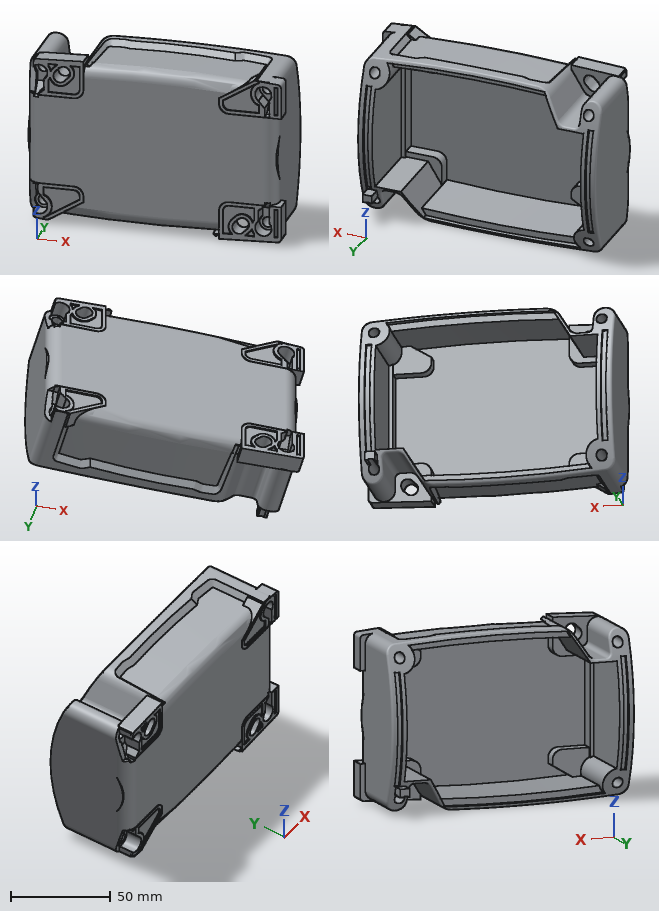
import cadquery as cq
import math


half_length = 65.1
half_height = 45.5
side_bow = 2.4
body_front = 0.3
rim_peak = 48.7
rim_drop = 11.4
end_edge_radius = 7.0
rim_rounding = 1.2
bulge_radius = 20.6
bulge_front = 3.7
recess_floor_wall = 2.4
rim_wall = 1.9
floor_thickness = 2.9

screw_x = 58.5
screw_z = 36.2
screw_diameter = 5.5
head_diameter = 8.5
head_depth = 8.8
post_radius = 5.6
post_top_z = half_height - side_bow
post_x = half_length - post_radius
post_z = post_top_z - post_radius

channel_floor_z = 28.6
channel_rounding = 2.7
channel_floor_end = -46.5
channel_ramp_start = (-42.5, 30.6)
channel_ramp_end = (-36.4, 40.4)
channel_mouth_x = -28.3
channel_wall = 1.6

recess_depth = 3.0
recess_edge_radius = 6.2
recess_left_front = -31.0
recess_left_rear = -29.0
recess_right = 52.1
recess_step_left = -23.3
recess_step_right = 40.5
recess_step_run = 4.0
recess_low_y = 27.1
recess_left_y = 28.5
recess_right_y = 29.5
recess_wall_base_z = 40.5
recess_wall_angle = 45.0

foot_thickness = 9.5
foot_inner = 35.4
foot_bottom = 23.9
foot_corner = 5.2
foot_edge = 2.0
foot_recess_depth = 0.8
short_foot_outer = 61.7
long_foot_outer = 67.8
slot_x = 46.7
slot_half_travel = 1.5
slot_angle = 45.0
slot_radius = 3.3
slot_ring = 5.3
notch_outer = short_foot_outer
notch_inner = 56.0
notch_tail_inner = 59.2
foot_outer_corner = 2.0
square_foot_top = 44.4
square_foot_fall = 0.04
foot_bow_inset = 0.1
square_recess_outer = 53.7
square_recess_top = 41.2
post_ring = 6.1
triangle_low_z = 31.9
triangle_slope = 0.62
triangle_recess_outer = 56.2
triangle_post_ring = 6.5
strip_x = (64.2, 65.8)
strip_z = (25.7, 40.5)
notch_ramp_z = 28.3
notch_end_depth = 4.3
square_notch = (27.0, 24.3, 22.6)
triangle_notch = (32.6, 29.0, 24.2)
corner_cut_top_y = 8.8
corner_cut_shoulder_y = 7.8

cavity_half_length = 55.0
rear_half_length = 57.0
notch_clear_y = 10.6
post_clearance = 8.0
rim_wall_front = 35.6

land_outer = 62.1
land_inner = 59.3
land_depth = 1.7
land_half_height = 29.2
tab_x = (56.4, 61.4)
tab_z = (-33.9, -29.5)
tab_rear = 50.5
tab_root = 37.2

beyond = 79.8
overlap = 1.3


def at_y(y):
    """Sketch plane facing the front, with local axes X and Z."""
    return cq.Workplane("XZ", origin=(0, y, 0))


def prism_y(sketch, length):
    """Extrude a front-facing sketch toward +Y."""
    return sketch.extrude(-length)


def half_turn(shape):
    return shape.rotate((0, 0, 0), (0, 1, 0), 180)


def box(x_range, y_range, z_range):
    size = [high - low for low, high in (x_range, y_range, z_range)]
    corner = (x_range[0], y_range[0], z_range[0])
    return cq.Workplane("XY").box(*size, centered=False).translate(corner)


bow_radius = (post_x**2 + side_bow**2) / (2 * side_bow)
rim_radius = (half_height**2 + rim_drop**2) / (2 * rim_drop)


def side_z(x):
    """Height of the bowed long wall at x."""
    return half_height - bow_radius + math.sqrt(bow_radius**2 - x**2)


def upper_outline(sketch):
    """Trace the upper half of the body outline from the -X end to the +X end."""
    return (
        sketch.lineTo(-half_length, post_z)
        .radiusArc((-post_x, post_top_z), post_radius)
        .radiusArc((post_radius - post_x, post_z), post_radius)
        .lineTo(post_radius - post_x, channel_floor_z + channel_rounding)
        .radiusArc((post_radius - post_x + channel_rounding, channel_floor_z), -channel_rounding)
        .lineTo(channel_floor_end, channel_floor_z)
        .tangentArcPoint(channel_ramp_start, relative=False)
        .lineTo(*channel_ramp_end)
        .tangentArcPoint((channel_mouth_x, side_z(channel_mouth_x)), relative=False)
        .threePointArc((0, half_height), (post_x, post_top_z))
        .radiusArc((half_length, post_z), post_radius)
        .lineTo(half_length, 0)
    )


def inside_rim_arch(lowering=0.0):
    """Everything inside the cylinder that carries the arched rim surface."""
    return (
        cq.Workplane("YZ", origin=(-beyond, rim_peak - rim_radius - lowering, 0))
        .circle(rim_radius)
        .extrude(2 * beyond)
    )


def outer_body():
    upper = prism_y(upper_outline(at_y(body_front).moveTo(-half_length, 0)).close(), beyond)
    body = upper.union(half_turn(upper)).clean()
    rounded_ends = (
        box((-half_length, half_length), (body_front, beyond), (-beyond, beyond))
        .faces("<Y").edges("|Z").fillet(end_edge_radius)
    )
    body = body.intersect(inside_rim_arch())
    body = body.faces(">Y").edges().fillet(rim_rounding)
    bulge = (
        cq.Workplane("YZ", origin=(-half_length, bulge_front + bulge_radius, 0))
        .circle(bulge_radius)
        .extrude(2 * half_length)
    )
    return body.intersect(rounded_ends.union(bulge))


def bowed_block(inset, y_start, y_end):
    """Block below the bowed long wall, moved inward by an inset."""
    sketch = at_y(y_start).center(0, half_height - bow_radius).circle(bow_radius - inset)
    return prism_y(sketch, y_end - y_start)


def side_recess():
    """Shallow recess in the upper long wall, rounded over into the front face."""
    outline = [
        (recess_left_front, body_front),
        (recess_left_front, -beyond),
        (recess_right, -beyond),
        (recess_right, recess_right_y),
        (recess_step_right, recess_right_y),
        (recess_step_right - recess_step_run, recess_low_y),
        (recess_step_left + recess_step_run, recess_low_y),
        (recess_step_left, recess_left_y),
        (recess_left_rear, recess_left_y),
    ]
    sloped = (
        cq.Workplane("XY", origin=(0, 0, recess_wall_base_z))
        .polyline(outline).close()
        .extrude(half_height + overlap - recess_wall_base_z, taper=-recess_wall_angle)
    )
    front_edge = box(
        (-foot_inner, recess_right),
        (0, body_front + recess_edge_radius),
        (half_height - recess_depth - 2 * recess_edge_radius, recess_wall_base_z + overlap),
    )
    kept = bowed_block(recess_depth, body_front, beyond).faces("<Y").edges().fillet(recess_edge_radius)
    return sloped.union(front_edge).cut(kept)


def upper_cavity():
    """Upper half of the inside, keeping clear of the side channel and the screw posts."""
    ramp_run = channel_ramp_end[0] - channel_ramp_start[0]
    ramp_rise = channel_ramp_end[1] - channel_ramp_start[1]
    shift = channel_wall * math.hypot(ramp_run, ramp_rise) / ramp_rise
    floor_z = channel_floor_z - channel_wall
    ramp_foot_x = channel_ramp_start[0] + shift - (channel_ramp_start[1] - floor_z) * ramp_run / ramp_rise
    ramp_top_x = ramp_foot_x + (half_height - floor_z) * ramp_run / ramp_rise

    def space_from(y, half_length_inside):
        outline = [
            (-half_length_inside, 0),
            (-half_length_inside, floor_z),
            (ramp_foot_x, floor_z),
            (ramp_top_x, half_height),
            (half_length_inside, half_height),
            (half_length_inside, 0),
        ]
        return prism_y(at_y(y).polyline(outline).close(), beyond)

    space = space_from(floor_thickness, cavity_half_length).union(space_from(notch_clear_y, rear_half_length))
    space = space.cut(prism_y(at_y(0).center(screw_x, screw_z).circle(post_clearance), 2 * beyond))
    front_part = bowed_block(recess_depth + recess_floor_wall, floor_thickness, beyond)
    rear_part = bowed_block(rim_wall, rim_wall_front, beyond)
    return space.intersect(front_part.union(rear_part))


def cut_inside(body):
    cavity = upper_cavity()
    body = body.cut(cavity).cut(half_turn(cavity))
    below_land = inside_rim_arch(land_depth)
    for inner, outer in ((-land_outer, -land_inner), (land_inner, land_outer)):
        strip = box((inner, outer), (floor_thickness, beyond), (-land_half_height, land_half_height))
        body = body.cut(strip.cut(below_land))
    return body


def slanted_slot(radius):
    """Slanted obround prism through an upper-left square foot."""
    length = 2 * (radius + slot_half_travel)
    sketch = at_y(0).center(-slot_x, screw_z).slot2D(length, 2 * radius, slot_angle)
    return prism_y(sketch, foot_thickness)


def screw_disc(x, radius, depth):
    return prism_y(at_y(0).center(x, screw_z).circle(radius), depth)


def square_foot(outer):
    """Upper-left foot with a square inboard corner."""
    block = prism_y(
        at_y(0)
        .polyline([
            (-outer, foot_bottom),
            (-foot_inner, foot_bottom),
            (-foot_inner, square_foot_top),
            (-outer, square_foot_top - square_foot_fall * (outer - foot_inner)),
        ])
        .close(),
        foot_thickness,
    )
    block = block.edges("|Y and >X and <Z").fillet(foot_corner)
    block = block.faces("<X").edges(">Z").fillet(foot_outer_corner)
    return block


def square_foot_recess():
    """Recessed front of a square foot, around the slot ring and the screw ring."""
    pocket = box(
        (-square_recess_outer, -foot_inner - foot_edge),
        (0, foot_recess_depth),
        (foot_bottom + foot_edge, square_recess_top),
    )
    pocket = pocket.edges(">X and <Z").fillet(foot_corner - foot_edge)
    pocket = pocket.cut(slanted_slot(slot_ring))
    pocket = pocket.cut(screw_disc(-screw_x, post_ring, foot_recess_depth))
    return pocket


def triangle_foot(outer):
    """Upper-right foot with a slanted upper side."""
    top_z = half_height
    rise = (top_z - triangle_low_z) / triangle_slope
    block = prism_y(
        at_y(0)
        .polyline([
            (outer, foot_bottom),
            (foot_inner, foot_bottom),
            (foot_inner, triangle_low_z),
            (foot_inner + rise, top_z),
            (outer, top_z),
        ])
        .close(),
        foot_thickness,
    )
    block = block.edges("<X and <Z").fillet(foot_corner)
    block = block.intersect(bowed_block(foot_bow_inset, 0, foot_thickness))
    block = block.faces(">X").edges(">Z").fillet(foot_outer_corner)
    return block


def triangle_foot_recess():
    """Recessed front of a triangular foot, beside the screw ring."""
    inset_x = foot_inner + foot_edge
    low_z = triangle_low_z - foot_edge * (math.hypot(1, triangle_slope) - triangle_slope)
    pocket = prism_y(
        at_y(0)
        .polyline([
            (triangle_recess_outer, foot_bottom + foot_edge),
            (inset_x, foot_bottom + foot_edge),
            (inset_x, low_z),
            (triangle_recess_outer, low_z + (triangle_recess_outer - inset_x) * triangle_slope),
        ])
        .close(),
        foot_recess_depth,
    )
    pocket = pocket.edges("<X and <Z").fillet(foot_corner - foot_edge)
    pocket = pocket.cut(screw_disc(screw_x, triangle_post_ring, foot_recess_depth))
    return pocket


def head_notch(taper_top, taper_bottom, end_z):
    """Screw head clearance and the notch leading from it, in an upper-left foot."""
    floor = (
        cq.Workplane("YZ", origin=(-notch_outer, 0, 0))
        .polyline([
            (0, screw_z),
            (head_depth, screw_z),
            (head_depth, notch_ramp_z),
            (notch_end_depth, end_z),
            (0, end_z),
        ])
        .close()
        .extrude(notch_outer - notch_inner)
    )
    side = prism_y(
        at_y(0)
        .polyline([
            (-notch_outer, screw_z),
            (-notch_inner, screw_z),
            (-notch_inner, taper_top),
            (-notch_tail_inner, taper_bottom),
            (-notch_tail_inner, end_z),
            (-notch_outer, end_z),
        ])
        .close(),
        head_depth,
    )
    return screw_disc(-screw_x, head_diameter / 2, head_depth).union(floor.intersect(side))


def open_left_corner():
    """Sloped cut that opens the upper-left head notch toward -X."""
    return (
        cq.Workplane("YZ", origin=(-half_length - overlap, 0, 0))
        .polyline([
            (0, half_height),
            (corner_cut_top_y, half_height),
            (corner_cut_shoulder_y, post_z),
            (notch_end_depth, foot_bottom),
            (0, foot_bottom),
        ])
        .close()
        .extrude(half_length + overlap - short_foot_outer)
    )


def upper_and_lower(shape):
    """The shape and its mirror image across the XY plane."""
    return shape.union(shape.mirror("XY"))


def build():
    body = outer_body()
    recess = side_recess()
    body = body.cut(recess).cut(half_turn(recess))
    body = cut_inside(body)

    body = body.cut(upper_and_lower(open_left_corner()))
    body = body.union(square_foot(short_foot_outer)).union(triangle_foot(long_foot_outer))
    body = body.union(half_turn(square_foot(long_foot_outer)))
    body = body.union(half_turn(triangle_foot(short_foot_outer)))
    body = body.union(box(tab_x, (tab_root, tab_rear), tab_z))

    body = body.cut(upper_and_lower(box(strip_x, (0, foot_recess_depth), strip_z)))
    openings = (
        square_foot_recess(),
        triangle_foot_recess(),
        head_notch(*square_notch),
        head_notch(*triangle_notch).mirror("YZ"),
        slanted_slot(slot_radius),
    )
    for opening in openings:
        body = body.cut(opening).cut(half_turn(opening))
    for x in (-screw_x, screw_x):
        body = body.cut(upper_and_lower(screw_disc(x, screw_diameter / 2, beyond)))
    return body


result = build()